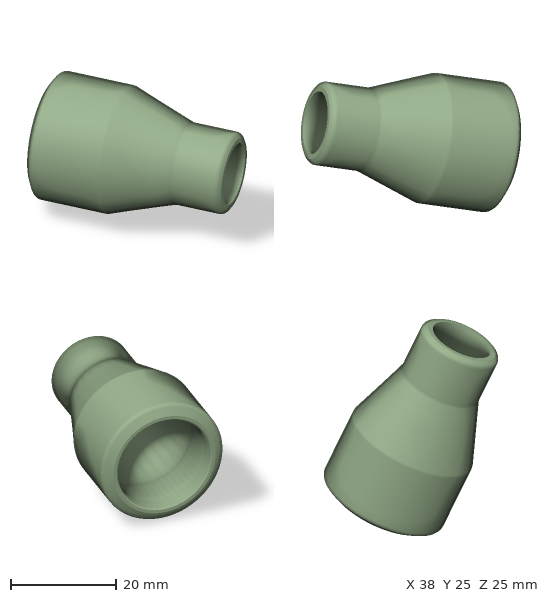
import cadquery as cq

length = 38
large_diameter = 25.0
small_diameter = 16.0

cone_start = 15.0
cone_end = 28.0

large_bevel_length = 1.2
large_land_radius = 10.5
small_bevel_length = 0.65
small_land_radius = 7.0

blend_radius = 1.0

inlet_diameter = 19
outlet_diameter = 12.0
mouth_chamfer = 0.3
inlet_depth = 10.0

large_radius = large_diameter / 2
small_radius = small_diameter / 2


def revolve_about_x(points):
    """Turn a closed (x, radius) outline about the X axis."""
    return cq.Workplane("XY").polyline(points).close().revolve(360, (0, 0, 0), (1, 0, 0))


def make_body():
    """Solid reducer with bevelled ends and blended outer corners."""
    small_bevel_start = length - small_bevel_length
    corners = [
        (large_bevel_length, large_radius),
        (cone_start, large_radius),
        (cone_end, small_radius),
        (small_bevel_start, small_radius),
    ]
    outline = [(0, 0), (0, large_land_radius), *corners, (length, small_land_radius), (length, 0)]
    body = revolve_about_x(outline)
    margin = 0.05
    reach = large_radius + margin
    for x, _ in corners:
        rim = cq.selectors.BoxSelector(
            (x - margin, -reach, -reach), (x + margin, reach, reach), boundingbox=True
        )
        body = body.edges(rim).fillet(blend_radius)
    return body


def make_bore():
    """Through passage whose cone ends level with the outer cone."""
    inlet_radius = inlet_diameter / 2
    outlet_radius = outlet_diameter / 2
    return revolve_about_x([
        (0, 0),
        (0, inlet_radius + mouth_chamfer),
        (mouth_chamfer, inlet_radius),
        (inlet_depth, inlet_radius),
        (cone_end, outlet_radius),
        (length, outlet_radius),
        (length, 0),
    ])


result = make_body().cut(make_bore())